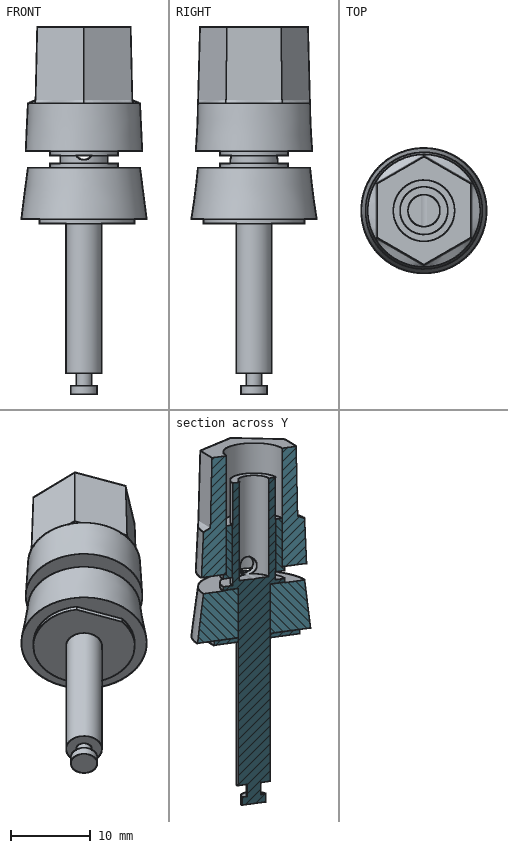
import cadquery as cq
import math

TIP_TOP = 1.1
SHAFT_BOTTOM = 2.65
WASHER_BOTTOM = 21.5
INSULATOR_BOTTOM = 22.05
COLLAR_BOTTOM = 28.5
COLLAR_THICKNESS = 0.55
CLAMP_GAP = 0.95
KNOB_HEIGHT = 15.6
RING_HEIGHT = 6.0
SHOULDER_HEIGHT = 0.4
POST_RECESS = 3.7

COLLAR_TOP = COLLAR_BOTTOM + COLLAR_THICKNESS
FLANGE_BOTTOM = COLLAR_TOP + CLAMP_GAP
KNOB_BOTTOM = FLANGE_BOTTOM + COLLAR_THICKNESS
KNOB_TOP = KNOB_BOTTOM + KNOB_HEIGHT
RING_TOP = KNOB_BOTTOM + RING_HEIGHT
SHOULDER_TOP = RING_TOP + SHOULDER_HEIGHT
POST_TOP = KNOB_TOP - POST_RECESS

TIP_DIAMETER = 3.33
TIP_NECK_DIAMETER = 2.0
SHAFT_DIAMETER = 4.55
POST_DIAMETER = 6.0
COLLAR_DIAMETER = 8.6
KNOB_BORE_DIAMETER = 7.7
SOCKET_DIAMETER = 4.0
WIRE_HOLE_DIAMETER = 2.35
RING_TOP_DIAMETER = 14.15
RING_BOTTOM_DIAMETER = 14.7
INSULATOR_TOP_DIAMETER = 14.15
INSULATOR_BOTTOM_DIAMETER = 15.8
WASHER_DIAMETER = 12.75

HEX_TOP_FLATS = 11.8
HEX_BOTTOM_FLATS = 12.2
CORNERS_PER_FLATS = 1 / math.cos(math.pi / 6)

WIRE_HOLE_BOTTOM = 29.5
WIRE_HOLE_HEIGHT = WIRE_HOLE_BOTTOM + WIRE_HOLE_DIAMETER / 2
WIRE_GROOVE_WIDTH = 0.75
SOCKET_FLOOR = WIRE_HOLE_HEIGHT - math.sqrt(WIRE_HOLE_DIAMETER**2 - WIRE_GROOVE_WIDTH**2) / 2

WASHER_FLAT_DISTANCE = 5.6


def cylinder(diameter, bottom, top):
    return cq.Workplane("XY").workplane(offset=bottom).circle(diameter / 2).extrude(top - bottom)


def cone(bottom_diameter, top_diameter, bottom, top):
    profile = [(0, bottom), (bottom_diameter / 2, bottom), (top_diameter / 2, top), (0, top)]
    return cq.Workplane("XZ").polyline(profile).close().revolve(360, (0, 0), (0, 1))


def tapered_hexagon(bottom_flats, top_flats, bottom, top):
    """Hexagon with corners on the Y axis and flats facing along X."""
    return (
        cq.Workplane("XY")
        .workplane(offset=bottom)
        .transformed(rotate=(0, 0, 90))
        .polygon(6, bottom_flats * CORNERS_PER_FLATS)
        .workplane(offset=top - bottom)
        .polygon(6, top_flats * CORNERS_PER_FLATS)
        .loft(ruled=True)
    )


def polar(radius, angle):
    return (radius * math.cos(math.radians(angle)), radius * math.sin(math.radians(angle)))


def hexagon_to_round_shoulder():
    """Ruled transition whose six sides each join an arc of the skirt rim to a hexagon edge."""
    rim_radius = RING_TOP_DIAMETER / 2
    corner_radius = HEX_BOTTOM_FLATS / 2 * CORNERS_PER_FLATS
    corner_angles = [30 + 60 * side for side in range(6)]
    outline = cq.Workplane("XY").workplane(offset=RING_TOP).moveTo(*polar(rim_radius, corner_angles[0]))
    for angle in corner_angles:
        outline = outline.threePointArc(polar(rim_radius, angle + 30), polar(rim_radius, angle + 60))
    hexagon = [polar(corner_radius, angle) for angle in corner_angles]
    return outline.close().workplane(offset=SHOULDER_HEIGHT).polyline(hexagon).close().loft(ruled=True)


def make_knob():
    """Hexagonal knob with a round skirt and a through bore."""
    skirt = cone(RING_BOTTOM_DIAMETER, RING_TOP_DIAMETER, KNOB_BOTTOM, RING_TOP)
    shoulder = hexagon_to_round_shoulder()
    grip = tapered_hexagon(HEX_BOTTOM_FLATS, HEX_TOP_FLATS, SHOULDER_TOP, KNOB_TOP)
    bore = cylinder(KNOB_BORE_DIAMETER, KNOB_BOTTOM, KNOB_TOP)
    return skirt.union(shoulder).union(grip).cut(bore)


def make_insert():
    """Flanged sleeve that fills the lower knob bore and runs on the post."""
    flange = cylinder(COLLAR_DIAMETER, FLANGE_BOTTOM, KNOB_BOTTOM)
    sleeve = cylinder(KNOB_BORE_DIAMETER, KNOB_BOTTOM, SHOULDER_TOP)
    bore = cylinder(POST_DIAMETER, FLANGE_BOTTOM, SHOULDER_TOP)
    return flange.union(sleeve).cut(bore)


def make_post():
    """Contact post with solder tip, shaft, clamping collar, socket and wire hole."""
    tip = cylinder(TIP_DIAMETER, 0, TIP_TOP)
    tip_neck = cylinder(TIP_NECK_DIAMETER, TIP_TOP, SHAFT_BOTTOM)
    shaft = cylinder(SHAFT_DIAMETER, SHAFT_BOTTOM, COLLAR_BOTTOM)
    collar = cylinder(COLLAR_DIAMETER, COLLAR_BOTTOM, COLLAR_TOP)
    barrel = cylinder(POST_DIAMETER, COLLAR_TOP, POST_TOP)
    socket = cylinder(SOCKET_DIAMETER, SOCKET_FLOOR, POST_TOP)
    wire_hole = (
        cq.Workplane("XZ")
        .center(0, WIRE_HOLE_HEIGHT)
        .circle(WIRE_HOLE_DIAMETER / 2)
        .extrude(POST_DIAMETER, both=True)
    )
    solid_post = tip.union(tip_neck).union(shaft).union(collar).union(barrel)
    return solid_post.cut(socket).cut(wire_hole)


def make_insulator():
    """Tapered insulator clamped under the post collar."""
    body = cone(INSULATOR_BOTTOM_DIAMETER, INSULATOR_TOP_DIAMETER, INSULATOR_BOTTOM, COLLAR_BOTTOM)
    return body.cut(cylinder(SHAFT_DIAMETER, INSULATOR_BOTTOM, COLLAR_BOTTOM))


def make_washer():
    """D-shaped washer with one flat on the -X side."""
    disc = cylinder(WASHER_DIAMETER, WASHER_BOTTOM, INSULATOR_BOTTOM)
    beyond_flat = (
        cq.Workplane("XY")
        .workplane(offset=WASHER_BOTTOM)
        .center(-WASHER_FLAT_DISTANCE, 0)
        .rect(WASHER_DIAMETER, WASHER_DIAMETER)
        .extrude(INSULATOR_BOTTOM - WASHER_BOTTOM)
        .translate((-WASHER_DIAMETER / 2, 0, 0))
    )
    shaft_hole = cylinder(SHAFT_DIAMETER, WASHER_BOTTOM, INSULATOR_BOTTOM)
    return disc.cut(beyond_flat).cut(shaft_hole)


knob = make_knob()
insert = make_insert()
post = make_post()
insulator = make_insulator()
washer = make_washer()

result = cq.Compound.makeCompound(
    [body.solids().val() for body in (knob, insert, post, insulator, washer)]
)